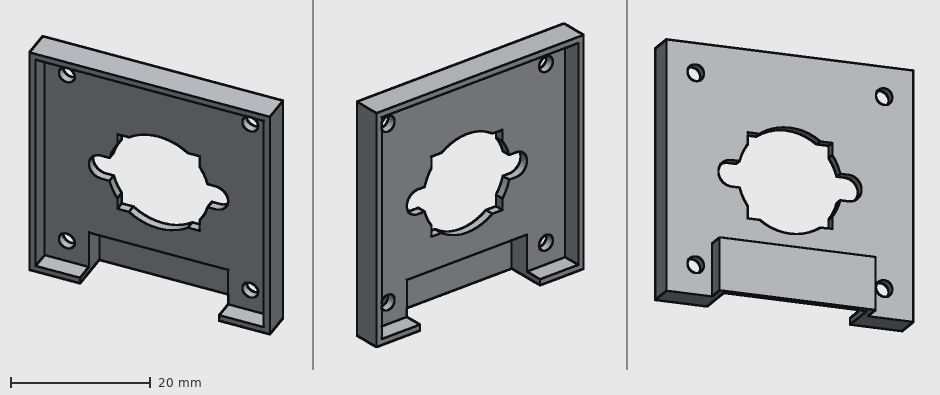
import cadquery as cq

tray_side = 38.0
tray_depth = 4.5
wall = 1.0
recess_depth = 3.0
half_side = tray_side / 2

hole_diameter = 2.5
hole_spacing = 29.0

opening_diameter = 16.0
opening_square = 13.0
slot_length = 22.0
slot_width = 4.0

housing_depth = 3.0
housing_height = 8.0
housing_cavity_width = 22.0
housing_width = housing_cavity_width + 2 * wall
cavity_height = housing_height - wall
cavity_depth = tray_depth + housing_depth - wall


def box(width, depth, height, front_y, bottom_z):
    """Box centred on X, running back from front_y and up from bottom_z."""
    return (
        cq.Workplane("XY")
        .box(width, depth, height, centered=(True, False, False))
        .translate((0, front_y, bottom_z))
    )


def through_tray(sketch):
    """Extrude a sketch on the front face back through the whole tray depth."""
    return sketch.extrude(-tray_depth)


def tray():
    recess_side = tray_side - 2 * wall
    body = box(tray_side, tray_depth, tray_side, 0, -half_side)
    return body.cut(box(recess_side, recess_depth, recess_side, 0, -recess_side / 2))


def mounting_holes():
    corners = cq.Workplane("XZ").rect(hole_spacing, hole_spacing, forConstruction=True).vertices()
    return through_tray(corners.circle(hole_diameter / 2))


def central_opening():
    circle = through_tray(cq.Workplane("XZ").circle(opening_diameter / 2))
    square = through_tray(cq.Workplane("XZ").rect(opening_square, opening_square))
    slot = through_tray(cq.Workplane("XZ").slot2D(slot_length, slot_width))
    return circle.union(square).union(slot)


def housing():
    return box(housing_width, housing_depth, housing_height, tray_depth, -half_side)


def housing_cavity():
    return box(housing_cavity_width, cavity_depth, cavity_height, 0, -half_side)


result = (
    tray()
    .union(housing())
    .cut(housing_cavity())
    .cut(mounting_holes())
    .cut(central_opening())
)